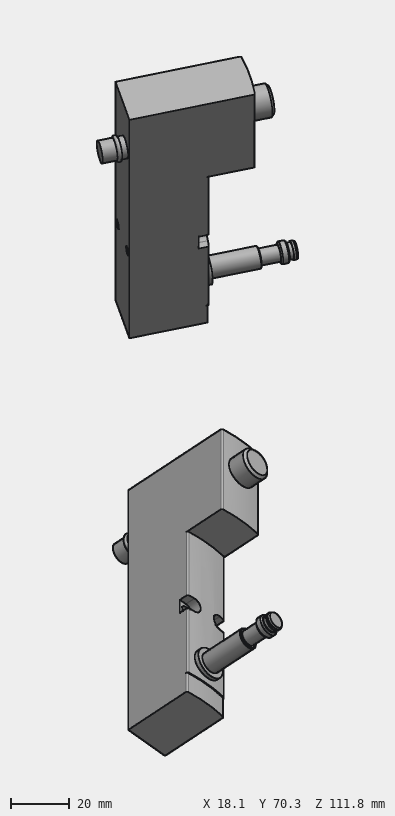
import cadquery as cq

width = 18.1
height = 111.8
head_depth = 45.0
stem_depth = 28.8
head_bottom = 74.5
base_height = 8.8
base_setback = 0.3
crown_height = 0.7
corner_radius = 0.7

tube_x = 3.4
tube_z = 91.8
tube_diameter = 8.0
tube_length = 8.9
ring_position = 2.9
ring_width = 1.7
ring_height = 0.7

boss_z = 96.9
boss_diameter = 12.0
boss_length = 7.4
boss_chamfer = 1.0

hole_diameter = 3.4
hole_offset = 6.3
hole_z = 41.8
slot_width = 6.0
slot_depth = 4.4

connector_z = 17.7
connector_root = 22.4
connector_outline = [
    (connector_root, 12.0),
    (30.3, 12.0),
    (30.3, 8.0),
    (48.0, 8.0),
    (48.3, 7.4),
    (48.3, 6.0),
    (55.2, 6.0),
    (55.2, 6.8),
    (55.8, 8.0),
    (57.8, 8.0),
    (58.4, 6.8),
    (58.4, 6.0),
    (59.8, 6.0),
    (59.8, 6.8),
    (60.7, 6.8),
    (61.4, 6.0),
]


def housing_block(depth, bottom, top):
    """Block with a slightly crowned back and rounded back corners."""
    half = width / 2
    return (
        cq.Workplane("XY")
        .workplane(offset=bottom)
        .moveTo(-half, 0)
        .lineTo(half, 0)
        .lineTo(half, depth - crown_height)
        .threePointArc((0, depth), (-half, depth - crown_height))
        .close()
        .extrude(top - bottom)
        .edges("|Z")
        .edges(">Y")
        .fillet(corner_radius)
    )


def cylinder_along_y(x, z, start, end, diameter):
    """Solid cylinder parallel to Y between two Y positions."""
    plane = cq.Plane(origin=(x, start, z), xDir=(1, 0, 0), normal=(0, 1, 0))
    return cq.Workplane(plane).circle(diameter / 2).extrude(end - start)


def retaining_ring():
    """Ring around the tube with an arched outer surface."""
    inner = tube_x + tube_diameter / 2
    middle = -ring_position
    return (
        cq.Workplane("XY")
        .workplane(offset=tube_z)
        .moveTo(tube_x, middle - ring_width / 2)
        .lineTo(inner, middle - ring_width / 2)
        .threePointArc((inner + ring_height, middle), (inner, middle + ring_width / 2))
        .lineTo(tube_x, middle + ring_width / 2)
        .close()
        .revolve(360, (tube_x, 0, 0), (tube_x, 1, 0))
    )


def connector():
    """Turned connector, revolved about its own axis parallel to Y."""
    points = [(diameter / 2, y) for y, diameter in connector_outline]
    tip = connector_outline[-1][0]
    return (
        cq.Workplane("XY")
        .workplane(offset=connector_z)
        .polyline([(0, connector_root)] + points + [(0, tip)])
        .close()
        .revolve(360, (0, 0, 0), (0, 1, 0))
    )


def mounting_cut(side):
    """Through hole and the round-ended slot behind it; side is -1 or 1."""
    x = side * hole_offset
    floor = stem_depth - slot_depth
    hole = cylinder_along_y(x, hole_z, 0, stem_depth, hole_diameter)
    slot_end = cylinder_along_y(x, hole_z, floor, stem_depth, slot_width)
    opening = cq.Workplane("XY").box(width / 2, slot_depth, slot_width, centered=(True, False, True))
    opening = opening.translate((x + side * width / 4, floor, hole_z))
    return hole.union(slot_end).union(opening)


head = housing_block(head_depth, head_bottom, height)
stem = housing_block(stem_depth, base_height, head_bottom)
base = housing_block(stem_depth - base_setback, 0, base_height)
tube = cylinder_along_y(tube_x, tube_z, -tube_length, 0, tube_diameter)
boss = cylinder_along_y(0, boss_z, head_depth - crown_height, head_depth + boss_length, boss_diameter)
boss = boss.faces(">Y").chamfer(boss_chamfer)

result = head.union(stem).union(base)
for side in (-1, 1):
    result = result.cut(mounting_cut(side))
result = result.union(tube).union(retaining_ring()).union(boss).union(connector())